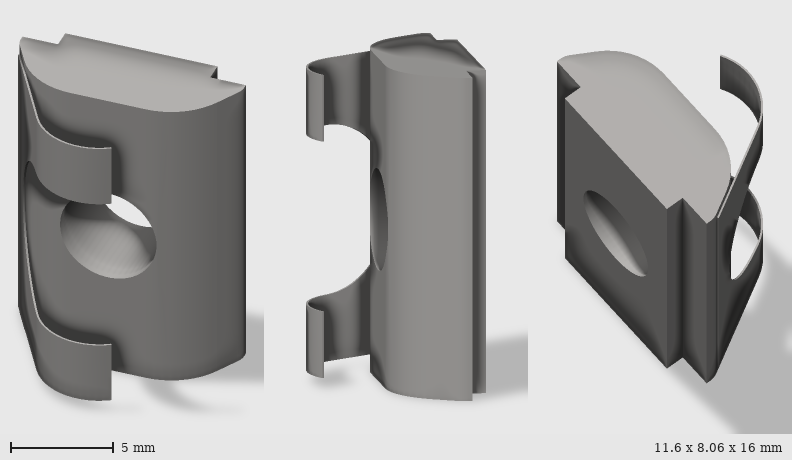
import cadquery as cq
import math

length = 16.0
half_width = 5.8
boss_half_width = 3.95
boss_height = 1.0
body_depth = 4.6
flat_half_width = 1.97
lower_radius = 3.5
side_radius = 1.0
hole_diameter = 5.0

leaf_length = 15.0
leaf_thickness = 0.1
leaf_inner_radius = 3.0
leaf_bottom = -8.06
curl_past_bottom = 31.5
leaf_setback = 0.18
window_radius = 4.2
window_center_past_bend = 0.24

flank_angle = math.radians(60)
along = (math.cos(flank_angle), -math.sin(flank_angle))
outward = (-math.sin(flank_angle), -math.cos(flank_angle))

tangent_x = -flat_half_width - lower_radius * math.sin(flank_angle)
tangent_y = -body_depth + lower_radius * (1 - math.cos(flank_angle))
corner_y = tangent_y + (tangent_x + half_width) * math.tan(flank_angle)


def make_body():
    lower_mid_x = flat_half_width + lower_radius * math.sin(flank_angle / 2)
    lower_mid_y = -body_depth + lower_radius * (1 - math.cos(flank_angle / 2))
    body = (
        cq.Workplane("XY")
        .moveTo(-boss_half_width, 0)
        .lineTo(boss_half_width, 0)
        .lineTo(boss_half_width, -boss_height)
        .lineTo(half_width, -boss_height)
        .lineTo(half_width, corner_y)
        .lineTo(-tangent_x, tangent_y)
        .threePointArc((lower_mid_x, lower_mid_y), (flat_half_width, -body_depth))
        .lineTo(-flat_half_width, -body_depth)
        .threePointArc((-lower_mid_x, lower_mid_y), (tangent_x, tangent_y))
        .lineTo(-half_width, corner_y)
        .lineTo(-half_width, -boss_height)
        .lineTo(-boss_half_width, -boss_height)
        .close()
        .extrude(length / 2, both=True)
    )
    for side in (-1, 1):
        corner = cq.NearestToPointSelector((side * half_width, corner_y, 0))
        body = body.edges("|Z").edges(corner).fillet(side_radius)
    hole = cq.Workplane("XZ").circle(hole_diameter / 2).extrude(body_depth)
    return body.cut(hole)


def make_leaf():
    outer_radius = leaf_inner_radius + leaf_thickness
    center_y = leaf_bottom + outer_radius
    bend_y = center_y + leaf_inner_radius * outward[1]
    bend_x = -half_width + (corner_y - bend_y) / math.tan(flank_angle)
    center_x = bend_x - leaf_inner_radius * outward[0]

    def on_curl(radius, degrees):
        """Point on the curl, at an angle from its lowest point toward +X."""
        angle = math.radians(degrees)
        return center_x + radius * math.sin(angle), center_y - radius * math.cos(angle)

    bend_degrees = -math.degrees(flank_angle)
    outer_bend = on_curl(outer_radius, bend_degrees)
    straight = (outer_bend[0] + half_width) / along[0] - leaf_setback

    def straight_end(bend):
        return bend[0] - straight * along[0], bend[1] - straight * along[1]

    inner_bend = (bend_x, bend_y)
    leaf = (
        cq.Workplane("XY")
        .moveTo(*straight_end(outer_bend))
        .lineTo(*outer_bend)
        .threePointArc(on_curl(outer_radius, 0), on_curl(outer_radius, curl_past_bottom))
        .lineTo(*on_curl(leaf_inner_radius, curl_past_bottom))
        .threePointArc(on_curl(leaf_inner_radius, 0), inner_bend)
        .lineTo(*straight_end(inner_bend))
        .close()
        .extrude(leaf_length / 2, both=True)
    )

    window_plane = cq.Plane(
        origin=(outer_bend[0], outer_bend[1], 0),
        xDir=(along[0], along[1], 0),
        normal=(outward[0], outward[1], 0),
    )
    reach = 2 * outer_radius
    window = (
        cq.Workplane(window_plane)
        .moveTo(window_center_past_bend, -window_radius)
        .lineTo(reach, -window_radius)
        .lineTo(reach, window_radius)
        .lineTo(window_center_past_bend, window_radius)
        .threePointArc(
            (window_center_past_bend - window_radius, 0),
            (window_center_past_bend, -window_radius),
        )
        .close()
        .extrude(reach, both=True)
    )
    return leaf.cut(window)


result = make_body().union(make_leaf())